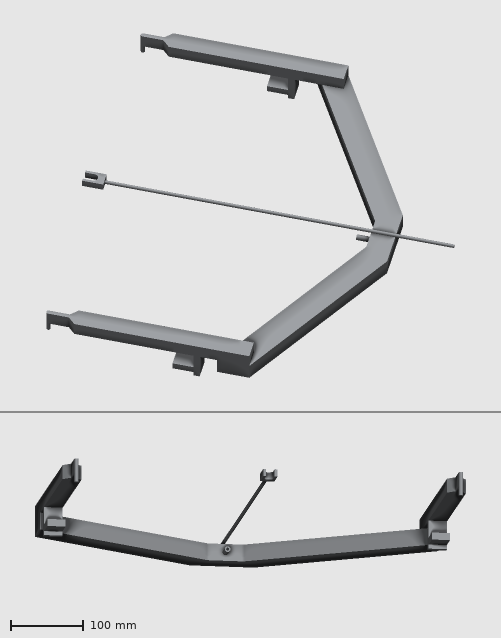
import cadquery as cq
import math

ASSEMBLY_TURN = 45

ARM_FRONT = 300
ARM_SPACING = 540
ARM_WIDTH = 26.5
ARM_LENGTH = 250.5
ARM_BOTTOM = 40
ARM_HEIGHT = 20
FINGER_WIDTH = 6
FINGER_LENGTH = 30

PLATE_SETBACK = 71
PLATE_THICKNESS = 9
SHELF_LENGTH = 30
SHELF_WIDTH = 25.5
SHELF_BOTTOM = 6
SHELF_HEIGHT = 10

PIN_DIAMETER = 6
PIN_LENGTH = 13

YOKE_HEIGHT = 24
LEG_WIDTH = 40
LEG_ANGLE = math.radians(30)
OUTER_KNEE_V = 45
INNER_KNEE_FILLET = 7

SLEEVE_DIAMETER = 8
SLEEVE_BORE = 4.2
SLEEVE_LENGTH = 20

ROD_DIAMETER = 5
ROD_LENGTH = 500
ROD_BACK = 22.5
ROD_Z = 46
FORK_WIDTH = 20
FORK_LENGTH = 30
FORK_HEIGHT = 10.5
SLOT_WIDTH = 12
SLOT_DEPTH = 20

nose_start = ARM_FRONT - ARM_LENGTH
finger_start = nose_start - (ARM_WIDTH - FINGER_WIDTH) / 2
finger_end = finger_start - FINGER_LENGTH
plate_front = ARM_FRONT - PLATE_SETBACK
plate_back = plate_front - PLATE_THICKNESS
half_span = (ARM_SPACING + ARM_WIDTH) / 2
yoke_bottom = ARM_BOTTOM - YOKE_HEIGHT
yoke_mid_z = yoke_bottom + YOKE_HEIGHT / 2
yoke_front = ARM_FRONT + (half_span - OUTER_KNEE_V) * math.tan(LEG_ANGLE)
yoke_inner = yoke_front - LEG_WIDTH * math.cos(LEG_ANGLE)
inner_knee_v = OUTER_KNEE_V - LEG_WIDTH * math.sin(LEG_ANGLE)
leg_end_back = ARM_FRONT - LEG_WIDTH / math.cos(LEG_ANGLE)


def level(z):
    """Horizontal workplane at height z."""
    return cq.Workplane("XY").workplane(offset=z)


def block(u_back, u_front, width, z_bottom, height):
    """Box centred on v = 0."""
    length = u_front - u_back
    return level(z_bottom).center(u_back + length / 2, 0).rect(length, width).extrude(height)


def crosswise_circle(u, z, diameter):
    """Circle facing along u, centred on v = 0."""
    return cq.Workplane("YZ").workplane(offset=u).center(0, z).circle(diameter / 2)


def make_arm():
    """Arm with its hanger, centred on v = 0."""
    half_width = ARM_WIDTH / 2
    half_finger = FINGER_WIDTH / 2
    bar = (
        level(ARM_BOTTOM)
        .moveTo(ARM_FRONT, half_width)
        .lineTo(nose_start, half_width)
        .lineTo(finger_start, half_finger)
        .lineTo(finger_end, half_finger)
        .threePointArc((finger_end - half_finger, 0), (finger_end, -half_finger))
        .lineTo(finger_start, -half_finger)
        .lineTo(nose_start, -half_width)
        .lineTo(ARM_FRONT, -half_width)
        .close()
        .extrude(ARM_HEIGHT)
    )
    plate = block(plate_back, plate_front, ARM_WIDTH, 0, ARM_BOTTOM)
    shelf = block(plate_back - SHELF_LENGTH, plate_back, SHELF_WIDTH, SHELF_BOTTOM, SHELF_HEIGHT)
    return bar.union(plate).union(shelf)


def make_pin():
    """Pin under the finger end, centred on v = 0."""
    return level(ARM_BOTTOM - PIN_LENGTH).center(finger_end, 0).circle(PIN_DIAMETER / 2).extrude(PIN_LENGTH)


def make_yoke():
    left_side = [
        (yoke_front, OUTER_KNEE_V),
        (ARM_FRONT, half_span),
        (leg_end_back, half_span),
        (yoke_inner, inner_knee_v),
    ]
    right_side = [(u, -v) for u, v in reversed(left_side)]
    yoke = level(yoke_bottom).polyline(left_side + right_side).close().extrude(YOKE_HEIGHT)
    for side in (1, -1):
        knee = cq.selectors.NearestToPointSelector((yoke_inner, side * inner_knee_v, yoke_mid_z))
        yoke = yoke.edges(knee).fillet(INNER_KNEE_FILLET)
    return yoke


def make_sleeve():
    outer = crosswise_circle(yoke_inner - SLEEVE_LENGTH, yoke_mid_z, SLEEVE_DIAMETER)
    return outer.circle(SLEEVE_BORE / 2).extrude(SLEEVE_LENGTH)


def make_rod():
    return crosswise_circle(ROD_BACK, ROD_Z, ROD_DIAMETER).extrude(ROD_LENGTH)


def make_fork():
    """Block with a round-bottomed slot open at the back."""
    fork_bottom = ROD_Z - FORK_HEIGHT / 2
    fork_tip = ROD_BACK - FORK_LENGTH
    slot_centre = fork_tip + SLOT_DEPTH - SLOT_WIDTH / 2
    body = block(fork_tip, ROD_BACK, FORK_WIDTH, fork_bottom, FORK_HEIGHT)
    slot = block(fork_tip, slot_centre, SLOT_WIDTH, fork_bottom, FORK_HEIGHT)
    slot_end = level(fork_bottom).center(slot_centre, 0).circle(SLOT_WIDTH / 2).extrude(FORK_HEIGHT)
    return body.cut(slot).cut(slot_end)


bodies = [make_yoke(), make_sleeve(), make_rod(), make_fork()]
for arm_v in (ARM_SPACING / 2, -ARM_SPACING / 2):
    bodies.append(make_arm().translate((0, arm_v, 0)))
    bodies.append(make_pin().translate((0, arm_v, 0)))

turned = [body.rotate((0, 0, 0), (0, 0, 1), ASSEMBLY_TURN).val() for body in bodies]
solids = [solid for shape in turned for solid in shape.Solids()]
result = cq.Compound.makeCompound(solids)